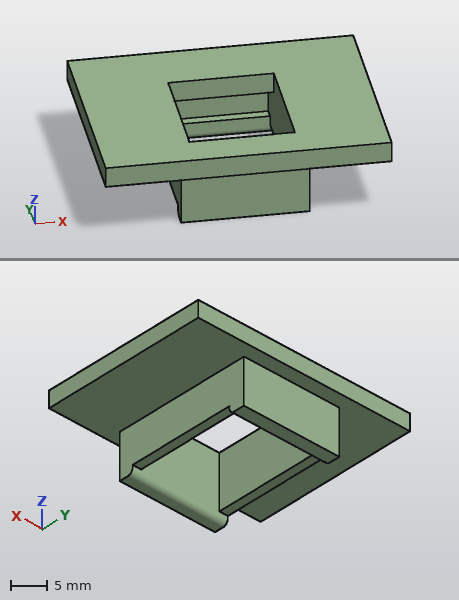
import cadquery as cq

plate_length = 40.0
plate_width = 30.0
plate_thickness = 3.0

frame_length = 18.0
frame_width = 24.95
total_height = 11.25
frame_bottom = -total_height

opening_length = 14.75
opening_front = -9.9
opening_back = 6.6

undercut_back = 10.95
ledge_front = 9.55
ledge_top = -8.5

relief_height = 1.4
foot_radius = 1.0

margin = 0.4


def block(length, front, back, bottom, top):
    """Box centred on X, between the given Y and Z limits."""
    return (
        cq.Workplane("XY", origin=(0, (front + back) / 2, bottom))
        .rect(length, back - front)
        .extrude(top - bottom)
    )


plate = block(plate_length, -plate_width / 2, plate_width / 2, -plate_thickness, 0)
frame = block(frame_length, -frame_width / 2, frame_width / 2, frame_bottom, -plate_thickness)

relief = block(frame_length, opening_front, ledge_front, frame_bottom, frame_bottom + relief_height)
frame = frame.cut(relief)
inner_foot_edges = cq.selectors.BoxSelector(
    (-frame_length, opening_front - margin, frame_bottom - margin),
    (frame_length, ledge_front + margin, frame_bottom + margin),
)
frame = frame.edges("|X").edges(inner_foot_edges).fillet(foot_radius)

opening = block(opening_length, opening_front, opening_back, frame_bottom, 0)
passage = block(opening_length, opening_front, ledge_front, frame_bottom, -plate_thickness)
undercut = block(opening_length, opening_front, undercut_back, ledge_top, -plate_thickness)

result = plate.union(frame).cut(opening).cut(passage).cut(undercut)